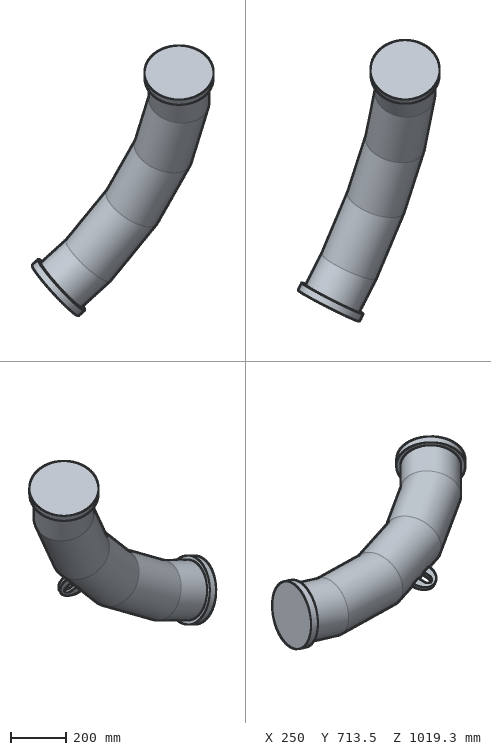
import cadquery as cq
import math

BEND_RADIUS = 1000.0
BEND_ANGLE = 60.0
MITRE_COUNT = 4
PIPE_DIAMETER = 219.1

FLANGE_DIAMETER = 250.0
FLANGE_THICKNESS = 30.0

LUG_RADIUS = 58.0
LUG_THICKNESS = 15.0
LUG_SLOT_WIDTH = 40.0
LUG_SLOT_REACH = 44.0
LUG_ROOT_DEPTH = 30.0

MITRE_TURN = BEND_ANGLE / MITRE_COUNT
MITRE_CENTRE_RADIUS = BEND_RADIUS / math.cos(math.radians(MITRE_TURN / 2))


def bend_point(radius, angle):
    """(y, z) of a point at a radius from the bend centre, angle degrees along the bend."""
    turn = math.radians(angle)
    return (radius * math.cos(turn) - BEND_RADIUS, -radius * math.sin(turn))


def make_pipe():
    """Straight pipe pieces joined by mitres, each piece tangent to the bend circle."""
    points = [bend_point(BEND_RADIUS, 0)]
    for mitre in range(MITRE_COUNT):
        points.append(bend_point(MITRE_CENTRE_RADIUS, (mitre + 0.5) * MITRE_TURN))
    points.append(bend_point(BEND_RADIUS, BEND_ANGLE))
    path = cq.Workplane("YZ").polyline(points)
    return cq.Workplane("XY").circle(PIPE_DIAMETER / 2).sweep(path, transition="right")


def make_flange(angle, end_sign):
    """Flange disc on a pipe end; end_sign is +1 at the lower end and -1 at the upper end."""
    turn = math.radians(angle)
    y, z = bend_point(BEND_RADIUS, angle)
    outward = (0, -end_sign * math.sin(turn), -end_sign * math.cos(turn))
    end_plane = cq.Plane(origin=(0, y, z), xDir=(1, 0, 0), normal=outward)
    return cq.Workplane(end_plane).circle(FLANGE_DIAMETER / 2).extrude(FLANGE_THICKNESS)


def make_lug():
    """Half-round plate with an open-rooted slot, standing out from the pipe wall."""
    lug_angle = BEND_ANGLE / 2
    turn = math.radians(lug_angle)
    y, z = bend_point(BEND_RADIUS + PIPE_DIAMETER / 2, lug_angle)
    lug_plane = cq.Plane(
        origin=(0, y, z), xDir=(0, math.cos(turn), -math.sin(turn)), normal=(1, 0, 0)
    )
    plate = (
        cq.Workplane(lug_plane)
        .moveTo(-LUG_ROOT_DEPTH, -LUG_RADIUS)
        .lineTo(0, -LUG_RADIUS)
        .threePointArc((LUG_RADIUS, 0), (0, LUG_RADIUS))
        .lineTo(-LUG_ROOT_DEPTH, LUG_RADIUS)
        .close()
        .extrude(LUG_THICKNESS / 2, both=True)
    )
    slot_half_width = LUG_SLOT_WIDTH / 2
    slot_arc_start = LUG_SLOT_REACH - slot_half_width
    slot = (
        cq.Workplane(lug_plane)
        .moveTo(-LUG_ROOT_DEPTH, -slot_half_width)
        .lineTo(slot_arc_start, -slot_half_width)
        .threePointArc((LUG_SLOT_REACH, 0), (slot_arc_start, slot_half_width))
        .lineTo(-LUG_ROOT_DEPTH, slot_half_width)
        .close()
        .extrude(LUG_THICKNESS, both=True)
    )
    return plate.cut(slot)


upper_flange = make_flange(0, -1)
lower_flange = make_flange(BEND_ANGLE, 1)
result = make_pipe().union(upper_flange).union(lower_flange).union(make_lug())